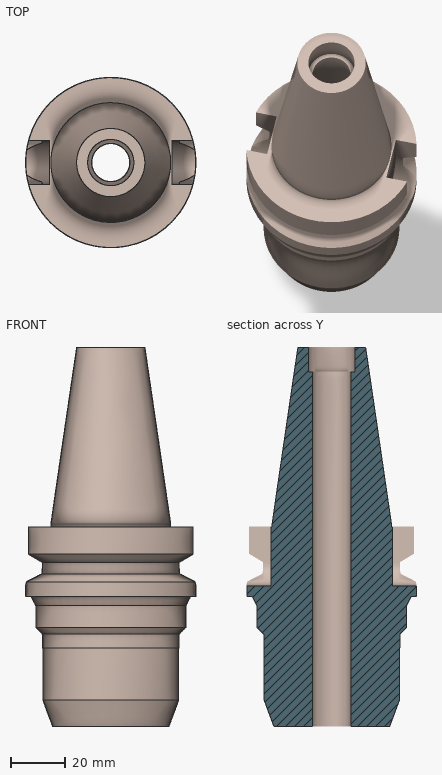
import cadquery as cq

total_height = 140.4
flange_radius = 31.52

nose_tip_radius = 21.5
nose_radius = 25.1
nose_taper_top = 9.8
nose_body_top = 29.2
neck_radius = 25.3
neck_top = 34.3

collar_radius = 27.8
collar_bottom = 36.8
collar_top = 44.8
collar_cone_radius = 29.5

flange_bottom = 48.2
flange_top = 74.0
groove_floor_radius = 26.5
groove_mouth_bottom = 53.6
groove_floor_bottom = 56.6
groove_floor_top = 60.8
groove_mouth_top = 63.9

taper_large_radius = 22.2
taper_small_radius = 12.6
taper_bottom = 75.1

bore_radius = 7.0
counterbore_radius = 8.5
counterbore_depth = 9.0

slot_width = 16.1
slot_bottom = 52.2
slot_floor_distance = 22.6


def make_body():
    """Revolve the outer profile, given as (radius, height), about Z."""
    profile = [
        (0, 0),
        (nose_tip_radius, 0),
        (nose_radius, nose_taper_top),
        (nose_radius, nose_body_top),
        (neck_radius, nose_body_top),
        (neck_radius, neck_top),
        (collar_radius, collar_bottom),
        (collar_radius, collar_top),
        (collar_cone_radius, flange_bottom),
        (flange_radius, flange_bottom),
        (flange_radius, groove_mouth_bottom),
        (groove_floor_radius, groove_floor_bottom),
        (groove_floor_radius, groove_floor_top),
        (flange_radius, groove_mouth_top),
        (flange_radius, flange_top),
        (taper_large_radius, flange_top),
        (taper_large_radius, taper_bottom),
        (taper_small_radius, total_height),
        (0, total_height),
    ]
    return cq.Workplane("XZ").polyline(profile).close().revolve(360, (0, 0, 0), (0, 1, 0))


def make_slot_cutter(side):
    """Round-bottomed cutter on the +X (side = 1) or -X (side = -1) side."""
    half_width = slot_width / 2
    arc_center = slot_bottom + half_width
    cut_depth = flange_radius - slot_floor_distance
    return (
        cq.Workplane("YZ", origin=(side * slot_floor_distance, 0, 0))
        .moveTo(half_width, flange_top)
        .lineTo(half_width, arc_center)
        .threePointArc((0, slot_bottom), (-half_width, arc_center))
        .lineTo(-half_width, flange_top)
        .close()
        .extrude(side * cut_depth)
    )


result = make_body()

for side in (-1, 1):
    result = result.cut(make_slot_cutter(side))

bore = cq.Workplane("XY").circle(bore_radius).extrude(total_height)
counterbore = (
    cq.Workplane("XY", origin=(0, 0, total_height))
    .circle(counterbore_radius)
    .extrude(-counterbore_depth)
)
result = result.cut(bore).cut(counterbore)